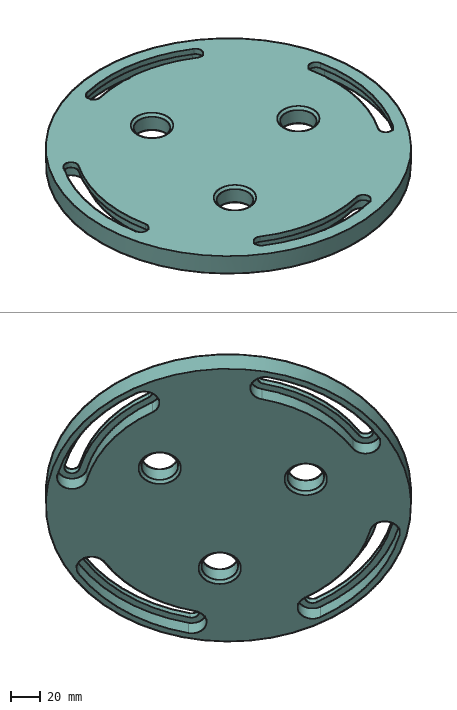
import cadquery as cq
import math

plate_diameter = 250.0
plate_thickness = 15.0

slot_count = 4
slot_width = 10.5
wide_slot_width = 20.5
slot_lip_thickness = 4.5
slot_mid_radius = 110.0
slot_half_angle = 22.6

hole_count = 3
hole_circle_radius = 58.0
hole_diameter = 25.0
hole_chamfer = 2.0
first_hole_angle = 90.0


def polar(radius, angle):
    """Point at a radius and an angle in degrees about the plate axis."""
    return (radius * math.cos(math.radians(angle)), radius * math.sin(math.radians(angle)))


def make_slot(middle_angle, width, height):
    """Arc-shaped cutter with round ends, rising from the bottom face."""
    inner_radius = slot_mid_radius - width / 2
    outer_radius = slot_mid_radius + width / 2
    start = middle_angle - slot_half_angle
    end = middle_angle + slot_half_angle
    tip_angle = slot_half_angle + math.degrees(width / 2 / slot_mid_radius)
    end_tip = polar(slot_mid_radius, middle_angle + tip_angle)
    start_tip = polar(slot_mid_radius, middle_angle - tip_angle)
    return (
        cq.Workplane("XY")
        .moveTo(*polar(outer_radius, start))
        .threePointArc(polar(outer_radius, middle_angle), polar(outer_radius, end))
        .threePointArc(end_tip, polar(inner_radius, end))
        .threePointArc(polar(inner_radius, middle_angle), polar(inner_radius, start))
        .threePointArc(start_tip, polar(outer_radius, start))
        .close()
        .extrude(height)
    )


def make_hole(angle):
    """Through hole widened by a 45 degree chamfer at both faces."""
    hole_radius = hole_diameter / 2
    rim_radius = hole_radius + hole_chamfer
    profile = [
        (0, 0),
        (rim_radius, 0),
        (hole_radius, hole_chamfer),
        (hole_radius, plate_thickness - hole_chamfer),
        (rim_radius, plate_thickness),
        (0, plate_thickness),
    ]
    cutter = cq.Workplane("XZ").polyline(profile).close().revolve(360, (0, 0), (0, 1))
    return cutter.translate((*polar(hole_circle_radius, angle), 0))


result = cq.Workplane("XY").circle(plate_diameter / 2).extrude(plate_thickness)

for i in range(slot_count):
    slot_angle = i * 360 / slot_count
    result = result.cut(make_slot(slot_angle, slot_width, plate_thickness))
    result = result.cut(make_slot(slot_angle, wide_slot_width, plate_thickness - slot_lip_thickness))

for i in range(hole_count):
    result = result.cut(make_hole(first_hole_angle + i * 360 / hole_count))